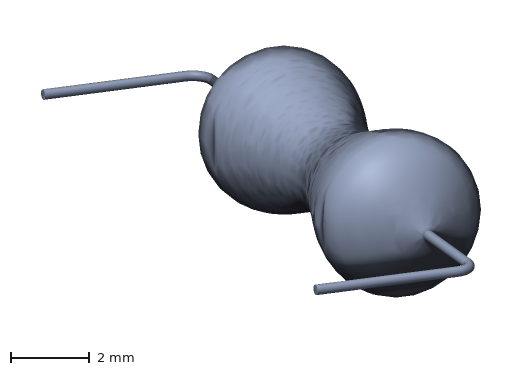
import cadquery as cq
import math

total_length = 18.03
wire_diameter = 0.27
bend_radius = 0.52
lead_reach = 4.44

body_length = 11.58
lobe_radius = 2.16
lobe_offset = 3.79
waist_radius = 1.28

wire_radius = wire_diameter / 2
body_half_length = body_length / 2
lead_offset = total_length / 2 - wire_radius

half_profile = [
    (body_half_length, wire_radius),
    (5.17, 1.28),
    (4.69, 1.85),
    (4.24, 2.11),
    (lobe_offset, lobe_radius),
    (2.72, 1.93),
    (1.42, 1.5),
    (0, waist_radius),
]


def make_body():
    """Revolve the mirrored dog-bone profile about X."""
    left_half = [(-x, radius) for x, radius in half_profile]
    right_half = list(reversed(half_profile[:-1]))
    outline = left_half + right_half
    return (
        cq.Workplane("XY")
        .moveTo(-body_half_length, 0)
        .lineTo(*outline[0])
        .spline(outline[1:], includeCurrent=True)
        .lineTo(body_half_length, 0)
        .close()
        .revolve(360, (0, 0, 0), (1, 0, 0))
    )


def make_wire():
    """Sweep one continuous round wire through the body and both bends."""
    bend_start = lead_offset - bend_radius
    bend_middle = bend_radius * math.sqrt(0.5)
    path = (
        cq.Workplane("XY")
        .moveTo(-lead_offset, -lead_reach)
        .lineTo(-lead_offset, -bend_radius)
        .threePointArc((-bend_start - bend_middle, bend_middle - bend_radius), (-bend_start, 0))
        .lineTo(bend_start, 0)
        .threePointArc((bend_start + bend_middle, bend_middle - bend_radius), (lead_offset, -bend_radius))
        .lineTo(lead_offset, -lead_reach)
    )
    tip_plane = cq.Plane(origin=(-lead_offset, -lead_reach, 0), xDir=(1, 0, 0), normal=(0, 1, 0))
    return cq.Workplane(tip_plane).circle(wire_radius).sweep(path)


result = make_body().union(make_wire())